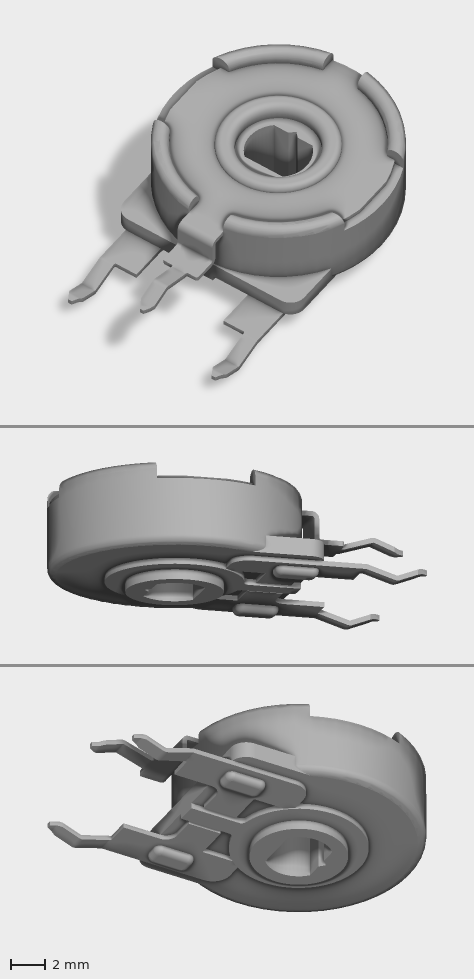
import cadquery as cq


HOUSING_R = 7.5
FLOOR_Z = 0.96
DECK_Z = 4.9
RIM_TOP_Z = 6.0
RIM_INNER_R = 6.42
RIM_FILLET = 0.51
BOTTOM_FILLET = 0.5
SIDE_NOTCH_WIDTH = 6.0
FLANGE_WIDTH = 12.97
FLANGE_FRONT_Y = -7.54
FLANGE_TOP_Z = 2.01
FLANGE_CORNER_R = 1.0

BASE_R = 4.11
BASE_Z = 0.6
RIB_WIDTH = 1.25
RIB_FILLET = 0.35

ROTOR_R = 5.8 / 2
ROTOR_TOP_Z = 4.7
KEYHOLE_R = 2.03
KEYHOLE_FLATS = 3.0
INDEX_WIDTH = 0.69
INDEX_DEPTH = 0.32

SHEET = 0.3
BEND_R = 0.15 + SHEET / 2

PLATE_R = 6.94
PLATE_HALF_WIDTH = 6.8
PLATE_TOP_Z = DECK_Z + SHEET
TONGUE_WIDTH = 2.5
TONGUE_BACK_R = 7.39
TONGUE_CORNER_R = 0.17
COLLAR_R = 3.75
COLLAR_TOP_Z = 5.6
COLLAR_OUTER_FILLET = 0.39
COLLAR_HOLE_R = 2.57
COLLAR_HOLE_FILLET = 0.51
STEP_Y = -8.33
WIPER_LEAD_Z = 3.36

OVERALL_LENGTH = 21.4
LEAD_WIDTH = 0.98
SHOULDER_Y = -10.02
SHOULDER_FILLET = 0.1
KINK_START_Y = -10.15
KINK_PEAK_Y = -12.01
KINK_END_Y = -13.53
KINK_HEIGHT = 0.58
TAPER_START_Y = -13.27
LEAD_END_Y = HOUSING_R - OVERALL_LENGTH
LEAD_TIP_WIDTH = 0.25

TERMINAL_Z = FLOOR_Z - SHEET / 2
TAB_INNER_X = 3.13
TAB_OUTER_X = 5.65
TAB_BACK_Y = -2.15
TAB_CORNER_R = 1.13
ARM_INNER_X = 0.95
ARM_FRONT_Y = -6.85
ARM_BACK_Y = -4.7
ARM_FILLET = 0.75

STAKE_X = (TAB_INNER_X + TAB_OUTER_X) / 2
STAKE_WIDTH = 1.41
STAKE_FRONT_Y = -7.47
STAKE_BACK_Y = -4.85
STAKE_BOTTOM_Z = 0.2
STAKE_CORNER_R = 0.43
STAKE_FILLET = 0.35

SIDES = (-1, 1)


def cylinder(radius, bottom, top):
    return cq.Workplane("XY").workplane(offset=bottom).circle(radius).extrude(top - bottom)


def block(x_limits, y_limits, z_limits):
    """Box between two limits along each axis."""
    size = [high - low for low, high in (x_limits, y_limits, z_limits)]
    corner = (x_limits[0], y_limits[0], z_limits[0])
    return cq.Workplane("XY").box(*size, centered=False).translate(corner)


def stake(side):
    """Post with rounded corners that passes through a side terminal."""
    post = block(
        (STAKE_X - STAKE_WIDTH / 2, STAKE_X + STAKE_WIDTH / 2),
        (STAKE_FRONT_Y, STAKE_BACK_Y),
        (STAKE_BOTTOM_Z, FLOOR_Z),
    )
    post = post.edges("|Z").fillet(STAKE_CORNER_R).faces("<Z").edges().fillet(STAKE_FILLET)
    return post if side > 0 else post.mirror("YZ")


def plate_disc():
    """Round plate with a flat at +X and -X."""
    sides = block(
        (-PLATE_HALF_WIDTH, PLATE_HALF_WIDTH), (-PLATE_R, PLATE_R), (DECK_Z, PLATE_TOP_Z)
    )
    return cylinder(PLATE_R, DECK_Z, PLATE_TOP_Z).intersect(sides)


def make_rim():
    """Rounded ring above the deck, split by the tongue gaps and the side notches."""
    rim = cylinder(HOUSING_R, DECK_Z, RIM_TOP_Z).cut(cylinder(RIM_INNER_R, DECK_Z, RIM_TOP_Z))
    rim = rim.faces(">Z").edges().fillet(RIM_FILLET)
    across = (-HOUSING_R, HOUSING_R)
    heights = (DECK_Z, RIM_TOP_Z)
    tongue_gap = block((-TONGUE_WIDTH / 2, TONGUE_WIDTH / 2), across, heights)
    side_notch = block(across, (-SIDE_NOTCH_WIDTH / 2, SIDE_NOTCH_WIDTH / 2), heights)
    return rim.cut(tongue_gap).cut(side_notch).cut(plate_disc())


def make_base():
    """Round boss under the housing, joined to the front face by a rib."""
    base = cylinder(BASE_R, BASE_Z, FLOOR_Z)
    rib = block((-RIB_WIDTH / 2, RIB_WIDTH / 2), (FLANGE_FRONT_Y, 0), (BASE_Z, FLOOR_Z))
    base = base.union(rib)
    for x in (-RIB_WIDTH / 2, RIB_WIDTH / 2):
        junction = cq.selectors.NearestToPointSelector((x, -BASE_R, (BASE_Z + FLOOR_Z) / 2))
        base = base.edges("|Z").edges(junction).fillet(RIB_FILLET)
    return base


def make_housing():
    body = cylinder(HOUSING_R, FLOOR_Z, DECK_Z).faces("<Z").edges().fillet(BOTTOM_FILLET)
    flange = block(
        (-FLANGE_WIDTH / 2, FLANGE_WIDTH / 2), (FLANGE_FRONT_Y, 0), (FLOOR_Z, FLANGE_TOP_Z)
    )
    flange = flange.edges("|Z and <Y").fillet(FLANGE_CORNER_R)
    body = body.union(flange).union(make_base()).union(make_rim())
    for side in SIDES:
        body = body.union(stake(side))
    return body.cut(cylinder(ROTOR_R, BASE_Z, DECK_Z))


def make_rotor():
    """Shaft with a double-D hole that has an index notch in one flat."""
    flat_y = KEYHOLE_FLATS / 2
    keyhole = cylinder(KEYHOLE_R, 0, ROTOR_TOP_Z).intersect(
        block((-KEYHOLE_R, KEYHOLE_R), (-flat_y, flat_y), (0, ROTOR_TOP_Z))
    )
    index_notch = (
        cq.Workplane("XY")
        .polyline([(-INDEX_WIDTH / 2, flat_y), (INDEX_WIDTH / 2, flat_y), (0, flat_y + INDEX_DEPTH)])
        .close()
        .extrude(ROTOR_TOP_Z)
    )
    return cylinder(ROTOR_R, 0, ROTOR_TOP_Z).cut(keyhole).cut(index_notch)


def bent_sheet(path_yz, width):
    """Strip centred on X = 0 whose middle follows a path of (y, z) points with rounded bends."""
    path = cq.Wire.makePolygon([cq.Vector(0, y, z) for y, z in path_yz])
    path = path.fillet(BEND_R, path.Vertices()[1:-1])
    start = cq.Plane(origin=(0, *path_yz[0]), xDir=(1, 0, 0), normal=(0, -1, 0))
    return cq.Workplane(start).rect(width, SHEET).sweep(cq.Workplane(obj=path))


def kinked_lead_path(level, direction):
    """Points of a lead at one level that bends away and back; direction is 1 for up, -1 for down."""
    return [
        (KINK_START_Y, level),
        (KINK_PEAK_Y, level + direction * KINK_HEIGHT),
        (KINK_END_Y, level),
        (LEAD_END_Y, level),
    ]


def lead_outline(lead_x):
    """Plan outline of a narrow lead with a tapered tip, as a tall prism that overlaps its tab."""
    half = LEAD_WIDTH / 2
    half_tip = LEAD_TIP_WIDTH / 2
    return (
        cq.Workplane("XY")
        .polyline([
            (lead_x - half, SHOULDER_Y + LEAD_WIDTH),
            (lead_x - half, TAPER_START_Y),
            (lead_x - half_tip, LEAD_END_Y),
            (lead_x + half_tip, LEAD_END_Y),
            (lead_x + half, TAPER_START_Y),
            (lead_x + half, SHOULDER_Y + LEAD_WIDTH),
        ])
        .close()
        .extrude(RIM_TOP_Z)
    )


def fillet_shoulders(outline, shoulder_xs):
    """Round the inner corners where a tab narrows to a lead."""
    for x in shoulder_xs:
        corner = cq.selectors.NearestToPointSelector((x, SHOULDER_Y, RIM_TOP_Z / 2))
        outline = outline.edges("|Z").edges(corner).fillet(SHOULDER_FILLET)
    return outline


def make_wiper_lead():
    """Stepped tongue that narrows to a lead kinked upward."""
    path = [(-BASE_R, DECK_Z + SHEET / 2), (STEP_Y, DECK_Z + SHEET / 2), (STEP_Y, WIPER_LEAD_Z)]
    strip = bent_sheet(path + kinked_lead_path(WIPER_LEAD_Z, 1), TONGUE_WIDTH)
    half = TONGUE_WIDTH / 2
    tongue = block((-half, half), (SHOULDER_Y, 0), (0, RIM_TOP_Z))
    tongue = tongue.edges("|Z and <Y").fillet(TONGUE_CORNER_R)
    outline = fillet_shoulders(tongue.union(lead_outline(0)), (-LEAD_WIDTH / 2, LEAD_WIDTH / 2))
    return strip.intersect(outline)


def make_wiper_plate():
    """Plate with a tongue at the back, a lead at the front and a collar around the rotor opening."""
    half = TONGUE_WIDTH / 2
    back_tongue = block((-half, half), (0, TONGUE_BACK_R), (DECK_Z, PLATE_TOP_Z))
    back_tongue = back_tongue.intersect(cylinder(TONGUE_BACK_R, DECK_Z, PLATE_TOP_Z))
    collar = cylinder(COLLAR_R, PLATE_TOP_Z, COLLAR_TOP_Z)
    collar = collar.faces(">Z").edges().fillet(COLLAR_OUTER_FILLET)
    plate = plate_disc().union(back_tongue).union(make_wiper_lead()).union(collar)
    lip = cylinder(ROTOR_R, ROTOR_TOP_Z, DECK_Z)
    plate = plate.union(lip).cut(cylinder(COLLAR_HOLE_R, ROTOR_TOP_Z, COLLAR_TOP_Z))
    hole_edge = cq.selectors.RadiusNthSelector(0)
    return plate.faces(">Z").edges(hole_edge).fillet(COLLAR_HOLE_FILLET)


def make_terminal(side):
    """Flat tab under the flange with an inward arm and a lead kinked downward."""
    heights = (0, RIM_TOP_Z)
    tab = block((TAB_INNER_X, TAB_OUTER_X), (SHOULDER_Y, TAB_BACK_Y), heights)
    tab = tab.edges("|Z and >X and >Y").fillet(TAB_CORNER_R)
    arm = block((ARM_INNER_X, STAKE_X), (ARM_FRONT_Y, ARM_BACK_Y), heights)
    lead_x = TAB_OUTER_X - LEAD_WIDTH / 2
    outline = fillet_shoulders(tab.union(arm).union(lead_outline(lead_x)), [lead_x - LEAD_WIDTH / 2])
    arm_corner = cq.selectors.NearestToPointSelector((TAB_INNER_X, ARM_FRONT_Y, RIM_TOP_Z / 2))
    outline = outline.edges("|Z").edges(arm_corner).fillet(ARM_FILLET)

    path = [(0, TERMINAL_Z)] + kinked_lead_path(TERMINAL_Z, -1)
    terminal = bent_sheet(path, 2 * TAB_OUTER_X).intersect(outline)
    terminal = terminal.cut(cylinder(BASE_R, BASE_Z, FLOOR_Z))
    if side < 0:
        terminal = terminal.mirror("YZ")
    return terminal.cut(stake(side))


housing = make_housing()
rotor = make_rotor()
wiper_plate = make_wiper_plate()
terminals = [make_terminal(side) for side in SIDES]

result = cq.Compound.makeCompound([
    housing.val(),
    rotor.val(),
    wiper_plate.val(),
    *[terminal.val() for terminal in terminals],
])